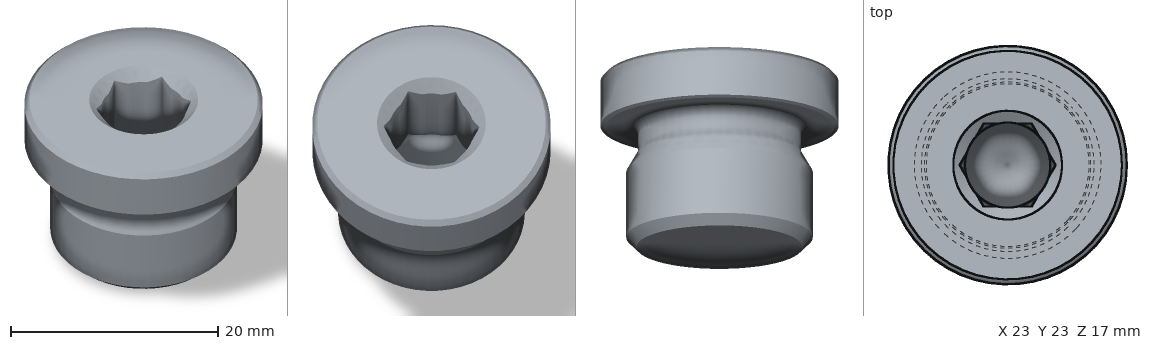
import cadquery as cq
import math

total_height = 17.0

head_radius = 11.5
head_height = 5.01
head_top_chamfer = 0.48
rim_width = 0.53
rim_rise = 0.14

neck_radius = 15.7 / 2
neck_arc_radius = 1.01
head_fillet_width = 0.48
neck_length = 1.4
shoulder_angle = math.radians(30)

shank_radius = 18.0 / 2
shank_chamfer = 1.0

hex_across_flats = 8.0
hex_depth = 8.5
hex_end_diameter = 9.5
hex_end_fillet = 0.5
bore_diameter = 8.2
countersink_diameter = 10.49
drill_point_angle = math.radians(120)


def arc_point(center_x, center_z, radius, angle):
    """Point on a circle in the profile plane."""
    return center_x + radius * math.cos(angle), center_z + radius * math.sin(angle)


def make_body():
    """Revolve the half section of head, neck and shank about Z."""
    underside = total_height - head_height
    center_x = neck_radius + neck_arc_radius

    upper_angle = math.pi - math.acos(1 - head_fillet_width / neck_arc_radius)
    neck_top = underside - neck_arc_radius * math.sin(upper_angle)
    fillet_start = arc_point(center_x, neck_top, neck_arc_radius, upper_angle)
    fillet_middle = arc_point(center_x, neck_top, neck_arc_radius, (upper_angle + math.pi) / 2)

    neck_bottom = neck_top - neck_length
    lower_angle = math.pi + shoulder_angle
    shoulder_middle = arc_point(center_x, neck_bottom, neck_arc_radius, math.pi + shoulder_angle / 2)
    shoulder_start = arc_point(center_x, neck_bottom, neck_arc_radius, lower_angle)
    shank_top = shoulder_start[1] - (shank_radius - shoulder_start[0]) / math.tan(shoulder_angle)

    profile = (
        cq.Workplane("XZ")
        .moveTo(0, total_height)
        .lineTo(head_radius - head_top_chamfer, total_height)
        .lineTo(head_radius, total_height - head_top_chamfer)
        .lineTo(head_radius, underside + rim_rise)
        .lineTo(head_radius - rim_width, underside)
        .lineTo(*fillet_start)
        .threePointArc(fillet_middle, (neck_radius, neck_top))
        .lineTo(neck_radius, neck_bottom)
        .threePointArc(shoulder_middle, shoulder_start)
        .lineTo(shank_radius, shank_top)
        .lineTo(shank_radius, shank_chamfer)
        .lineTo(shank_radius - shank_chamfer, 0)
        .lineTo(0, 0)
        .close()
    )
    return profile.revolve(360, (0, 0, 0), (0, 1, 0))


def make_hexagon():
    """Hexagonal prism with corners on the X axis and a rounded lower end."""
    across_corners = hex_across_flats / math.cos(math.pi / 6)
    prism = (
        cq.Workplane("XY", origin=(0, 0, total_height))
        .polygon(6, across_corners)
        .extrude(-hex_depth)
    )
    envelope = (
        cq.Workplane("XY", origin=(0, 0, total_height))
        .circle(hex_end_diameter / 2)
        .extrude(-hex_depth)
        .faces("<Z")
        .edges()
        .fillet(hex_end_fillet)
    )
    return prism.intersect(envelope)


def make_bore():
    """Pilot bore with 45 degree countersink and conical drill point."""
    bore_radius = bore_diameter / 2
    countersink_radius = countersink_diameter / 2
    floor = total_height - hex_depth
    point_depth = bore_radius / math.tan(drill_point_angle / 2)
    return (
        cq.Workplane("XZ")
        .moveTo(0, total_height)
        .lineTo(countersink_radius, total_height)
        .lineTo(bore_radius, total_height - (countersink_radius - bore_radius))
        .lineTo(bore_radius, floor)
        .lineTo(0, floor - point_depth)
        .close()
        .revolve(360, (0, 0, 0), (0, 1, 0))
    )


result = make_body().cut(make_bore()).cut(make_hexagon())